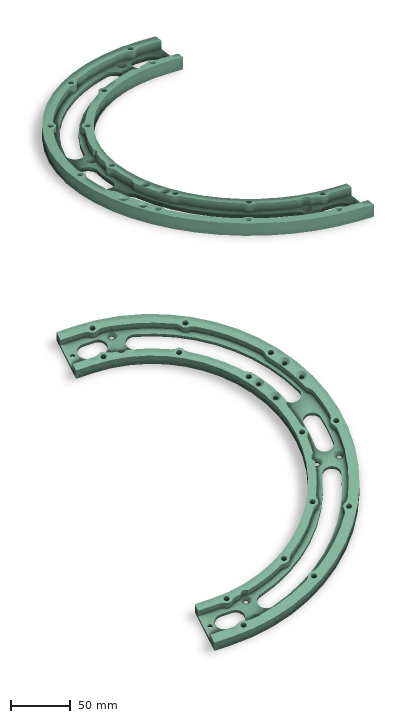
import cadquery as cq
import math

outer_radius = 174.0
ring_width = 43.0
leg_length = 15.0
thickness = 12.0
floor_thickness = 4.0

channel_inner_radius = 138.0
channel_outer_radius = 165.0

wall_hole_diameter = 5.2
inner_hole_radius = 136.0
outer_hole_radius = 167.0
boss_radius = 5.0
boss_fillet = 10.0
boss_end_angle = 85.0
boss_pitch_angle = 27.0
boss_angles = [0.0]
for step in range(3):
    side_angle = boss_end_angle - step * boss_pitch_angle
    boss_angles += [-side_angle, side_angle]

pad_start_angle = 15.2
pad_end_angle = boss_end_angle - 2 * boss_pitch_angle

slot_width = 16.0
slot_radius = 151.5
middle_slot_half_angle = 5.0
side_slot_angles = (17.0, 73.0)
leg_slot_length = 26.5
leg_slot_y = -8.5
leg_hole_diameter = 4.2
leg_hole_y = 9.7

screw_hole_diameter = 4.2
screw_head_diameter = 9.5
screw_head_angle = 90.0
screw_pair_spacing = 20.2
screw_pair_radius = 148.0
screw_pair_offset = 28.5
pad_screw_angle = 22.5
pad_screw_rows = 30.5

inner_radius = outer_radius - ring_width


def polar(radius, angle):
    """Point at an angle in degrees from the middle of the arc, positive towards +X."""
    turn = math.radians(angle)
    return radius * math.sin(turn), -radius * math.cos(turn)


def between(centre, radius, first, second):
    """Middle of the short arc around a centre from the first point to the second."""
    dx = (first[0] + second[0]) / 2 - centre[0]
    dy = (first[1] + second[1]) / 2 - centre[1]
    scale = radius / math.hypot(dx, dy)
    return centre[0] + dx * scale, centre[1] + dy * scale


def half_ring(small_radius, large_radius, bottom):
    """Half ring with straight legs, from the given height up to the top face."""
    return (
        cq.Workplane("XY", origin=(0, 0, bottom))
        .moveTo(-large_radius, leg_length)
        .lineTo(-large_radius, 0)
        .threePointArc((0, -large_radius), (large_radius, 0))
        .lineTo(large_radius, leg_length)
        .lineTo(small_radius, leg_length)
        .lineTo(small_radius, 0)
        .threePointArc((0, -small_radius), (-small_radius, 0))
        .lineTo(-small_radius, leg_length)
        .close()
        .extrude(thickness - bottom)
    )


def wall_bulge(wall_radius, hole_radius, start_angle, end_angle):
    """Round boss, or pad with boss-shaped ends, blended into a channel wall by fillets."""
    outward = math.copysign(1, wall_radius - hole_radius)
    fillet_radius = wall_radius + outward * boss_fillet
    tip_radius = hole_radius + outward * boss_radius
    reach = boss_radius + boss_fillet
    cosine = (fillet_radius**2 + hole_radius**2 - reach**2) / (2 * fillet_radius * hole_radius)
    spread = math.degrees(math.acos(cosine))

    def end_points(angle, direction):
        """Points along one end: on the wall, along the fillet and where the boss begins."""
        fillet_centre = polar(fillet_radius, angle + direction * spread)
        centre = polar(hole_radius, angle)
        wall = polar(wall_radius, angle + direction * spread)
        blend = between(centre, boss_radius, centre, fillet_centre)
        return wall, between(fillet_centre, boss_fillet, wall, blend), blend

    start_wall, start_fillet, start_blend = end_points(start_angle, -1)
    end_wall, end_fillet, end_blend = end_points(end_angle, 1)
    start_tip = polar(tip_radius, start_angle)
    end_tip = polar(tip_radius, end_angle)
    middle_angle = (start_angle + end_angle) / 2
    start_foot = polar(hole_radius, start_angle - spread)
    end_foot = polar(hole_radius, end_angle + spread)

    outline = (
        cq.Workplane("XY", origin=(0, 0, floor_thickness))
        .moveTo(*start_foot)
        .lineTo(*start_wall)
        .threePointArc(start_fillet, start_blend)
    )
    if start_angle == end_angle:
        outline = outline.threePointArc(start_tip, end_blend)
    else:
        start_round = between(polar(hole_radius, start_angle), boss_radius, start_blend, start_tip)
        end_round = between(polar(hole_radius, end_angle), boss_radius, end_tip, end_blend)
        outline = (
            outline.threePointArc(start_round, start_tip)
            .threePointArc(polar(tip_radius, middle_angle), end_tip)
            .threePointArc(end_round, end_blend)
        )
    return (
        outline.threePointArc(end_fillet, end_wall)
        .lineTo(*end_foot)
        .threePointArc(polar(hole_radius, middle_angle), start_foot)
        .close()
        .extrude(thickness - floor_thickness)
    )


def arc_slot(start_angle, end_angle):
    """Cutter for a round-ended slot along the middle of the ring."""
    small = slot_radius - slot_width / 2
    large = slot_radius + slot_width / 2
    middle_angle = (start_angle + end_angle) / 2
    end_reach = math.degrees(slot_width / 2 / slot_radius)
    return (
        cq.Workplane("XY")
        .moveTo(*polar(small, start_angle))
        .threePointArc(polar(small, middle_angle), polar(small, end_angle))
        .threePointArc(polar(slot_radius, end_angle + end_reach), polar(large, end_angle))
        .threePointArc(polar(large, middle_angle), polar(large, start_angle))
        .threePointArc(polar(slot_radius, start_angle - end_reach), polar(small, start_angle))
        .close()
        .extrude(thickness)
    )


def round_cutter(points, diameter, bottom=0.0):
    """Vertical cylinders at the points, from the given height up to the top face."""
    return (
        cq.Workplane("XY", origin=(0, 0, bottom))
        .pushPoints(points)
        .circle(diameter / 2)
        .extrude(thickness - bottom)
    )


def countersink_cutter(points, face_height):
    """Screw holes with a conical seat in a face, and clear room for the head above it."""
    depth = (screw_head_diameter - screw_hole_diameter) / 2 / math.tan(math.radians(screw_head_angle / 2))
    cutter = round_cutter(points, screw_hole_diameter)
    if face_height < thickness:
        cutter = cutter.union(round_cutter(points, screw_head_diameter, face_height))
    for x, y in points:
        seat = cq.Solid.makeCone(
            screw_hole_diameter / 2,
            screw_head_diameter / 2,
            depth,
            pnt=cq.Vector(x, y, face_height - depth),
        )
        cutter = cutter.union(cq.Workplane(seat))
    return cutter


channel = half_ring(channel_inner_radius, channel_outer_radius, floor_thickness)
walls = (
    (channel_inner_radius, inner_hole_radius),
    (channel_outer_radius, outer_hole_radius),
)
wall_holes = []
for wall_radius, hole_radius in walls:
    for angle in boss_angles:
        if angle != pad_end_angle:
            channel = channel.cut(wall_bulge(wall_radius, hole_radius, angle, angle))
        wall_holes.append(polar(hole_radius, angle))
    channel = channel.cut(wall_bulge(wall_radius, hole_radius, pad_start_angle, pad_end_angle))

floor_screws = []
for shift in (-screw_pair_spacing / 2, screw_pair_spacing / 2):
    radius = screw_pair_radius + shift
    floor_screws += [(-radius, -screw_pair_offset), (radius, -screw_pair_offset)]
    floor_screws.append((-screw_pair_offset, -radius))

pad_screws = []
for along in (-screw_pair_spacing / 2, screw_pair_spacing / 2):
    for across in (-pad_screw_rows / 2, pad_screw_rows / 2):
        distance = math.hypot(slot_radius + across, along)
        swing = math.degrees(math.atan2(along, slot_radius + across))
        pad_screws.append(polar(distance, pad_screw_angle + swing))

result = half_ring(inner_radius, outer_radius, 0.0).cut(channel)
first_angle, last_angle = side_slot_angles
result = result.cut(arc_slot(-middle_slot_half_angle, middle_slot_half_angle))
result = result.cut(arc_slot(first_angle, last_angle))
result = result.cut(arc_slot(-last_angle, -first_angle))

leg_slots = (
    cq.Workplane("XY")
    .pushPoints([(-slot_radius, leg_slot_y), (slot_radius, leg_slot_y)])
    .slot2D(leg_slot_length, slot_width, 90)
    .extrude(thickness)
)
leg_holes = [(-slot_radius, leg_hole_y), (slot_radius, leg_hole_y)]
result = result.cut(leg_slots)
result = result.cut(round_cutter(leg_holes, leg_hole_diameter))
result = result.cut(round_cutter(wall_holes, wall_hole_diameter))
result = result.cut(countersink_cutter(floor_screws, floor_thickness))
result = result.cut(countersink_cutter(pad_screws, thickness))